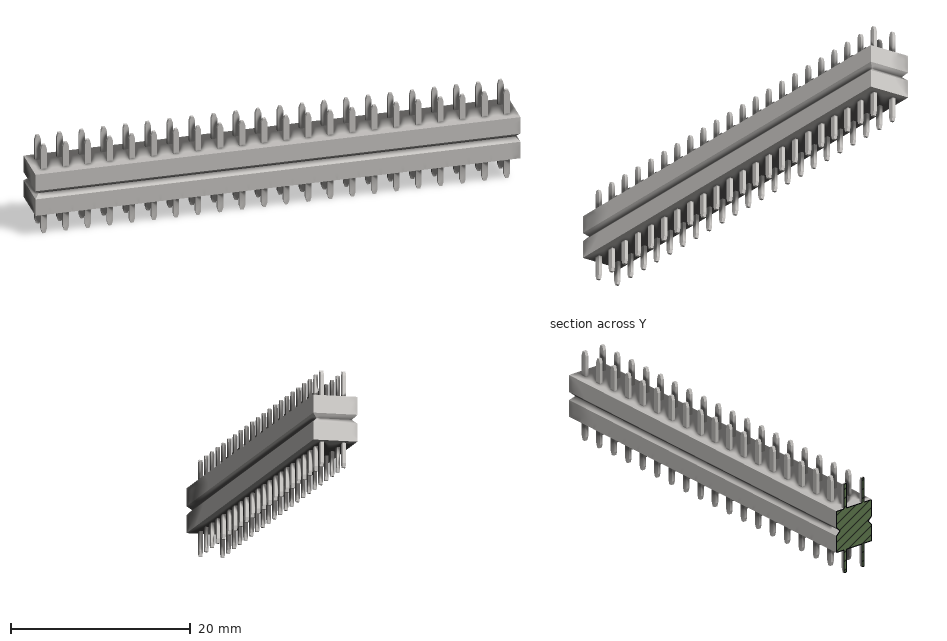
import cadquery as cq

body_length = 55.9
total_height = 10.9

row_count = 2
pins_per_row = 22
pitch = body_length / pins_per_row
body_width = row_count * pitch

body_height = 5.1
groove_height = 1.0
groove_depth = groove_height / 2
block_height = (body_height - groove_height) / 2

housing_center_z = -0.1

pin_thickness = 0.4
pin_width = 0.65
tip_width = 0.35
tip_length = 0.5


def make_block(bottom_z):
    """Rectangular housing block standing on the given height."""
    block = cq.Workplane("XY").box(body_width, body_length, block_height, centered=(True, True, False))
    return block.translate((0, 0, bottom_z))


def make_waist_half(direction):
    """Tapered half of the waist, from the narrow middle plane up (1) or down (-1) to a block."""
    return (
        cq.Workplane("XY")
        .rect(body_width - 2 * groove_depth, body_length - 2 * groove_depth)
        .workplane(offset=direction * groove_height / 2)
        .rect(body_width, body_length)
        .loft(ruled=True)
    )


def make_housing():
    """Both blocks joined by the waist, with the groove at half height."""
    upper_block = make_block(groove_height / 2)
    lower_block = make_block(-body_height / 2)
    housing = upper_block.union(make_waist_half(1)).union(make_waist_half(-1)).union(lower_block)
    return housing.translate((0, 0, housing_center_z))


def make_pin():
    """One pin along Z, running through the housing and centred on the origin."""
    tip_z = total_height / 2
    shoulder_z = tip_z - tip_length
    outline = [
        (-tip_width / 2, -tip_z),
        (tip_width / 2, -tip_z),
        (pin_width / 2, -shoulder_z),
        (pin_width / 2, shoulder_z),
        (tip_width / 2, tip_z),
        (-tip_width / 2, tip_z),
        (-pin_width / 2, shoulder_z),
        (-pin_width / 2, -shoulder_z),
    ]
    return cq.Workplane("YZ").polyline(outline).close().extrude(pin_thickness / 2, both=True)


def make_pins():
    """All pins on the rectangular grid."""
    pin = make_pin().val()
    grid = cq.Workplane("XY").rarray(pitch, pitch, row_count, pins_per_row)
    return grid.eachpoint(lambda place: pin.moved(place))


result = make_housing().union(make_pins())